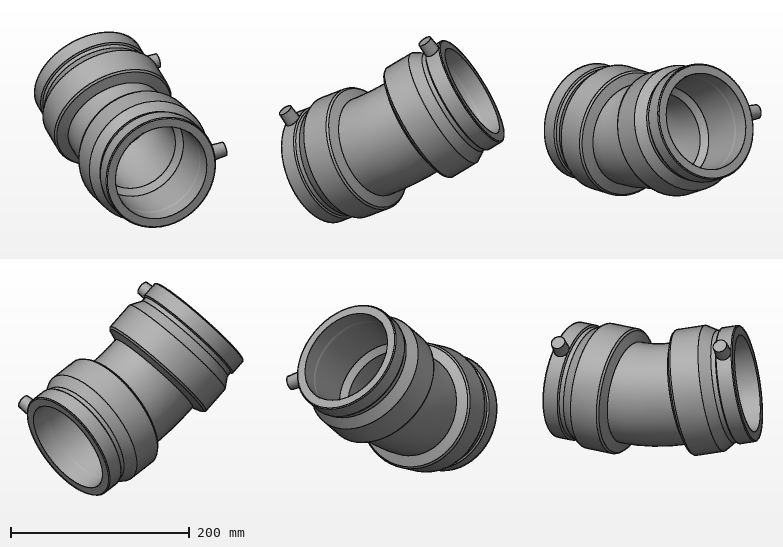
import cadquery as cq
import math

bend_angle = 22.5
leg_length = 107.6
socket_length = 77.3
tangent_length = leg_length - socket_length
bend_radius = tangent_length / math.tan(math.radians(bend_angle / 2))

rim_radius = 66.0
rim_length = 18.5
rim_chamfer = 1.2
groove_radius = 127.5 / 2
groove_start = 20.0
groove_end = 25.3
body_radius = 143.0 / 2
body_start = 38.0
body_end = 70.5
shoulder_start = 72.8
shoulder_radius = 69.5
pipe_radius = 57.5

mouth_radius = 110.0 / 2
mouth_depth = 18.5
seat_depth = 20.9
seat_radius = 54.5
bore_radius = 47.5

pin_station = 10.0
pin_base_radius = 9.0
pin_tip_radius = 8.0
pin_tip_y = 81.0
pin_base_y = (mouth_radius + rim_radius) / 2


def to_far_end(shape):
    """Mirror a shape from the first leg onto the second leg."""
    half_angle = bend_angle / 2
    return (
        shape.translate((-leg_length, 0, 0))
        .rotate((0, 0, 0), (0, 1, 0), half_angle)
        .mirror("YZ")
        .rotate((0, 0, 0), (0, 1, 0), -half_angle)
        .translate((leg_length, 0, 0))
    )


def revolve_about_x(outline):
    """Revolve an outline of (station, radius) points around the X axis."""
    return cq.Workplane("XY").polyline(outline).close().revolve(360, (0, 0, 0), (1, 0, 0))


def socket_outside():
    return revolve_about_x([
        (0, 0),
        (0, rim_radius - rim_chamfer),
        (rim_chamfer, rim_radius),
        (rim_length, rim_radius),
        (groove_start, groove_radius),
        (groove_end, groove_radius),
        (body_start, body_radius),
        (body_end, body_radius),
        (shoulder_start, shoulder_radius),
        (socket_length, pipe_radius),
        (socket_length, 0),
    ])


def socket_bore():
    return revolve_about_x([
        (0, 0),
        (0, mouth_radius),
        (mouth_depth, mouth_radius),
        (seat_depth, seat_radius),
        (body_end, seat_radius),
        (socket_length, bore_radius),
        (socket_length, 0),
    ])


def bend(radius):
    """Solid torus sector joining the inner ends of the two sockets."""
    return (
        cq.Workplane("YZ", origin=(socket_length, 0, 0))
        .circle(radius)
        .revolve(bend_angle, (2.3, bend_radius, 0), (-2.3, bend_radius, 0))
    )


def pin():
    return (
        cq.Workplane("XZ", origin=(pin_station, pin_base_y, 0))
        .circle(pin_base_radius)
        .workplane(offset=pin_base_y - pin_tip_y)
        .circle(pin_tip_radius)
        .loft()
    )


def both_ends(shape):
    return shape, to_far_end(shape)


result = bend(pipe_radius)
for socket in both_ends(socket_outside()):
    result = result.union(socket)
for side_pin in both_ends(pin()):
    result = result.union(side_pin)
result = result.cut(bend(bore_radius))
for bore in both_ends(socket_bore()):
    result = result.cut(bore)